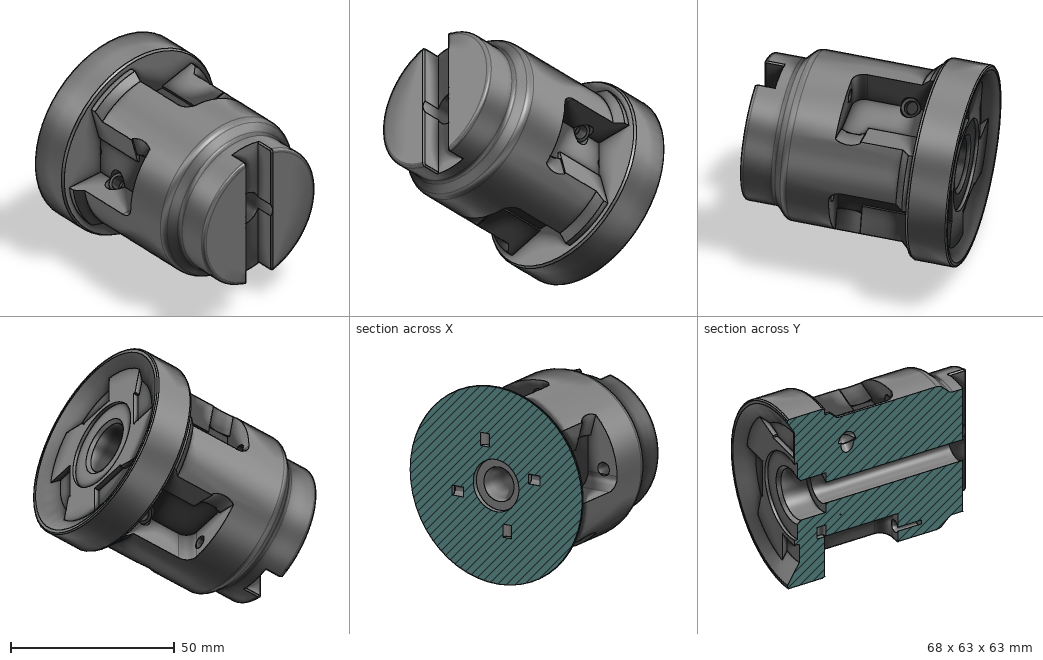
import cadquery as cq
import math

length = 68.0

flange_r = 63.0 / 2
flange_end = 13.1
front_chamfer = 0.4
back_chamfer_run = 0.8
back_chamfer_drop = 0.5

mouth_r = 30.1
mouth_floor_r = 46.0 / 2
mouth_taper = math.tan(math.radians(30))
mouth_depth = (mouth_r - mouth_floor_r) * mouth_taper

arm_face = 2.45

collar_r = 29.15
collar_end = 14.9
collar_taper_end = 17.4
body_r = 53.4 / 2
shoulder_start = 52.3
shoulder_fillet = 3.0
neck_fillet = 2.0
tail_r = 46.0 / 2
tail_edge_fillet = 1.0

hub_recess_r = 29.0 / 2
hub_face = 3.55
socket_r = 16.5 / 2
socket_chamfer = 1.1
socket_end = 13.45
bore_r = 11.0 / 2

window_count = 4
window_floor = 16.05
window_wall = -3.55
step_y = 9.4
step_height = 0.7
slant_angle = math.radians(15)
slant_end = 30.85
window_end = 38.75
window_corner_r = 4.0
relief_foot_y = 12.4
relief_r = 8.3
outside = 40.8

seat_x = 20.95
seat_r = 6.2 / 2
screw_r = 4.2 / 2
screw_depth = 4.1
floor_hole_x = 11.95
floor_hole_y = 4.1
floor_hole_r = 3.0 / 2
floor_hole_depth = 4.1
pin_y = 2.05
pin_z = 21.75
pin_r = 4.2 / 2
pin_depth = 8.15

slot_width = 10.2
slot_start = 61.6
slot_chamfer = 0.55

slant = (math.cos(slant_angle), math.sin(slant_angle))
slant_normal = (-slant[1], slant[0])


def along(point, direction, distance):
    return (point[0] + distance * direction[0], point[1] + distance * direction[1])


def revolved(outline):
    """Turn a closed (x, radius) outline about the X axis."""
    return outline.close().revolve(360, (0, 0, 0), (1, 0, 0))


def turned(points):
    return revolved(cq.Workplane("XY").polyline(points))


def turned_body():
    """Outer shape with the conical mouth: flange, collar, body, filleted 45 degree shoulder and tail."""
    cos45 = math.cos(math.radians(45))
    shoulder_end = (shoulder_start + shoulder_fillet * cos45, body_r - shoulder_fillet * (1 - cos45))
    neck_r = tail_r + neck_fillet * (1 - cos45)
    neck_start = (shoulder_end[0] + shoulder_end[1] - neck_r, neck_r)
    tail_start = neck_start[0] + neck_fillet * cos45

    mid_run = math.sin(math.radians(22.5))
    mid_drop = 1 - math.cos(math.radians(22.5))
    shoulder_mid = (shoulder_start + shoulder_fillet * mid_run, body_r - shoulder_fillet * mid_drop)
    neck_mid = (tail_start - neck_fillet * mid_run, tail_r + neck_fillet * mid_drop)

    outline = (
        cq.Workplane("XY")
        .moveTo(mouth_depth, 0)
        .lineTo(mouth_depth, mouth_floor_r)
        .lineTo(0, mouth_r)
        .lineTo(0, flange_r - front_chamfer)
        .lineTo(front_chamfer, flange_r)
        .lineTo(flange_end - back_chamfer_run, flange_r)
        .lineTo(flange_end, flange_r - back_chamfer_drop)
        .lineTo(flange_end, collar_r)
        .lineTo(collar_end, collar_r)
        .lineTo(collar_taper_end, body_r)
        .lineTo(shoulder_start, body_r)
        .threePointArc(shoulder_mid, shoulder_end)
        .lineTo(*neck_start)
        .threePointArc(neck_mid, (tail_start, tail_r))
        .lineTo(length, tail_r)
        .lineTo(length, 0)
    )
    return revolved(outline).edges(">X").fillet(tail_edge_fillet)


def cut_driving_slot(part):
    slot = cq.Workplane("XY", origin=(slot_start, 0, 0)).box(
        length - slot_start, slot_width, 2 * flange_r, centered=(False, True, True)
    )
    part = part.cut(slot)
    half = slot_width / 2
    for side in (-half, half):
        rim = cq.selectors.BoxSelector(
            (slot_start + 0.7, side - 0.1, -flange_r), (length + 0.7, side + 0.1, flange_r)
        )
        part = part.edges(rim).chamfer(slot_chamfer)
    return part


def window_section(start, end):
    """Window with its stepped and slanted side, between two x positions."""
    step_top = (step_y, window_floor + step_height)
    return (
        cq.Workplane("YZ", origin=(start, 0, 0))
        .polyline([
            (window_wall, window_floor),
            (step_y, window_floor),
            step_top,
            along(step_top, slant, outside),
            (window_wall, outside),
        ])
        .close()
        .extrude(end - start)
    )


def window():
    """Side window, ending in a wider bay with a hollowed side."""
    foot = (relief_foot_y, window_floor)
    bay_length = window_end - slant_end
    bay = (
        cq.Workplane("YZ", origin=(slant_end, 0, 0))
        .polyline([
            (window_wall, window_floor),
            foot,
            along(foot, slant_normal, outside / 2),
            (window_wall, outside),
        ])
        .close()
        .extrude(bay_length)
        .edges("|Z").edges(">X and <Y")
        .fillet(window_corner_r)
    )
    half = bay_length / 2
    sag = relief_r - math.sqrt(relief_r**2 - half**2)
    relief_plane = cq.Plane(origin=(slant_end + half, *foot), xDir=(-1, 0, 0), normal=(0, *slant))
    relief = (
        cq.Workplane(relief_plane)
        .moveTo(-half, sag)
        .threePointArc((0, 0), (half, sag))
        .lineTo(half, outside)
        .lineTo(-half, outside)
        .close()
        .extrude(outside)
    )
    return window_section(flange_end, slant_end).union(bay).union(relief)


def screw_seat():
    """Counterbored screw hole, entering the window corner at 45 degrees."""
    plane = cq.Plane(origin=(seat_x, window_wall, window_floor), xDir=(1, 0, 0), normal=(0, 1, 1))
    seat = cq.Workplane(plane).circle(seat_r).extrude(2 * seat_r)
    screw = cq.Workplane(plane).circle(screw_r).extrude(-screw_depth)
    return seat.union(screw)


def floor_hole():
    plane = cq.Workplane("XY", origin=(floor_hole_x, floor_hole_y, window_floor))
    return plane.circle(floor_hole_r).extrude(-floor_hole_depth)


def pin_hole():
    plane = cq.Workplane("YZ", origin=(window_end, pin_y, pin_z))
    return plane.circle(pin_r).extrude(pin_depth)


def spider():
    """Raised four-armed face on the mouth floor, its arm tips meeting the cone."""
    arm_face_r = mouth_r - arm_face / mouth_taper
    arms = turned([
        (arm_face, 0),
        (arm_face, arm_face_r),
        (mouth_depth, mouth_floor_r),
        (mouth_depth, 0),
    ])
    gap = window_section(arm_face, mouth_depth)
    for index in range(window_count):
        arms = arms.cut(gap.rotate((0, 0, 0), (1, 0, 0), index * 360 / window_count))
    return arms


def bore():
    return turned([
        (0, 0),
        (0, hub_recess_r),
        (hub_face, hub_recess_r),
        (hub_face, socket_r + socket_chamfer),
        (hub_face + socket_chamfer, socket_r),
        (socket_end, socket_r),
        (socket_end, bore_r),
        (length, bore_r),
        (length, 0),
    ])


result = cut_driving_slot(turned_body())
window_cutters = [window(), screw_seat(), floor_hole(), pin_hole()]
for index in range(window_count):
    turn = index * 360 / window_count
    for cutter in window_cutters:
        result = result.cut(cutter.rotate((0, 0, 0), (1, 0, 0), turn))
result = result.union(spider()).cut(bore())